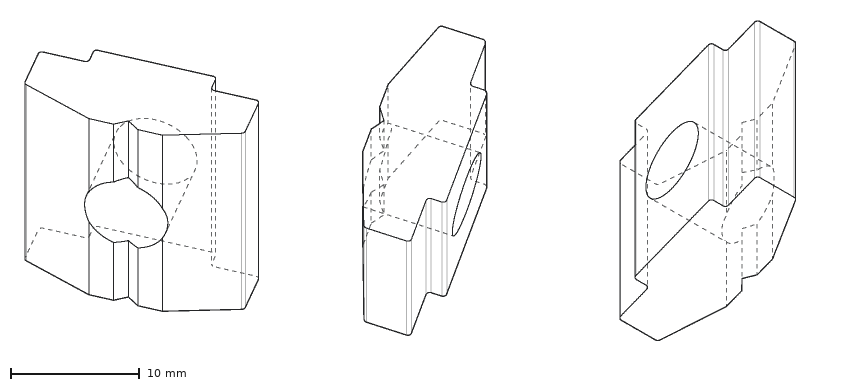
import cadquery as cq
import math

length = 19.0
width = 18.0
depth = 7.5
neck_width = 10.0
neck_depth = 1.5
nose_width = 6.0
slope_angle = 20.0
groove_width = 2.0
groove_depth = 0.7
hole_diameter = 6.8
corner_radius = 0.3

nose_y = -depth / 2
neck_y = depth / 2
shoulder_y = neck_y - neck_depth
slope_rise = (width - nose_width) / 2 * math.tan(math.radians(slope_angle))
slope_top_y = nose_y + slope_rise

right_half = [
    (groove_width / 2, nose_y),
    (nose_width / 2, nose_y),
    (width / 2, slope_top_y),
    (width / 2, shoulder_y),
    (neck_width / 2, shoulder_y),
    (neck_width / 2, neck_y),
]
left_half = [(-x, y) for x, y in reversed(right_half)]
outline = [(0, nose_y + groove_depth)] + right_half + left_half
body = cq.Workplane("XY", origin=(0, 0, -length / 2)).polyline(outline).close().extrude(length)

edge_margin = 0.02
rounded_zone = cq.selectors.BoxSelector(
    (-width, slope_top_y - edge_margin, -length),
    (width, neck_y + edge_margin, length),
)
body = body.edges("|Z").edges(rounded_zone).fillet(corner_radius)

hole = cq.Workplane("XZ", origin=(0, neck_y, 0)).circle(hole_diameter / 2).extrude(depth)

result = body.cut(hole)